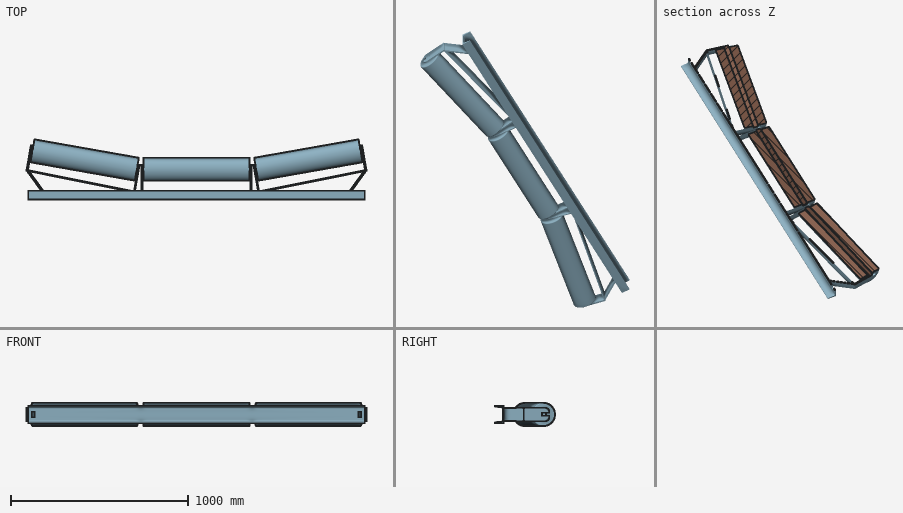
import cadquery as cq
import math

roller_diameter = 133.0
roller_length = 600.0
roller_edge_round = 4.8
shaft_radius = 12.5
shaft_flats = 17.0

axis_height = 121.0
trough_angle = 10.0
side_roller_x = 336.0

channel_length = 1900.0
channel_height = 100.0
channel_depth = 50.0
web_thickness = 6.0
flange_thickness = 8.5
flange_slope = 0.08
root_radius = 8.5
toe_radius = 4.5
end_slot_length = 17.0
end_slot_height = 29.0
end_slot_x = 920.0

bracket_width = 75.0
bracket_gap = 5.0
inner_plate = 5.0
inner_top = 25.0
inner_bend_radius = 4.0
outer_plate = 8.8
outer_top = 30.0
outer_corner_radius = 23.0
strut_foot_x = 875.0
strut_inset = 4.0
brace_plate = 5.0
brace_drop = 111.0
brace_foot_x = 370.0

tilt = math.radians(trough_angle)


def side_point(along, up):
    """Point given by its distance from the inner end of the +X side roller and above its axis."""
    x = side_roller_x + along * math.cos(tilt) - up * math.sin(tilt)
    y = axis_height + along * math.sin(tilt) + up * math.cos(tilt)
    return (x, y)


def tilted_line_x(along, y):
    """X at height y on the line square to the side roller axis, a distance along that axis."""
    x, y_axis = side_point(along, 0)
    return x + (y_axis - y) * math.tan(tilt)


def on_middle_axis(body):
    """Carry a body built from the origin along +X to the middle roller axis."""
    return body.translate((-roller_length / 2, axis_height, 0))


def on_side_axis(body):
    """Carry a body built from the origin along +X to the +X side roller axis."""
    return body.rotate((0, 0, 0), (0, 0, 1), trough_angle).translate((side_roller_x, axis_height, 0))


def mirrored(body):
    return body.mirror("YZ")


outer_near = roller_length + bracket_gap
outer_far = outer_near + outer_plate
brace_top = side_point(outer_far, -brace_drop)
brace_angle = math.atan2(brace_top[1], brace_top[0] - brace_foot_x)
brace_low = (
    brace_top[0] + brace_plate * math.sin(brace_angle),
    brace_top[1] - brace_plate * math.cos(brace_angle),
)


def make_roller():
    roller = cq.Workplane("YZ").circle(roller_diameter / 2).extrude(roller_length)
    roller = roller.faces("<X or >X").edges().fillet(roller_edge_round)
    bore = cq.Workplane("YZ").circle(shaft_radius).extrude(roller_length)
    return roller.cut(bore)


def make_shaft(far_plate):
    """Shaft from an inner bracket, through a roller, to the bracket at the roller's far end."""
    start = -bracket_gap - inner_plate
    far_face = roller_length + bracket_gap
    end = far_face + far_plate
    shaft = cq.Workplane("YZ", origin=(start, 0, 0)).circle(shaft_radius).extrude(end - start)
    for flat_start, flat_length in ((start, inner_plate), (far_face, far_plate)):
        for side in (1, -1):
            flat = cq.Workplane("XY").box(
                flat_length, 2 * shaft_radius, shaft_radius, centered=(False, True, True)
            )
            shaft = shaft.cut(flat.translate((flat_start, 0, side * (shaft_flats + shaft_radius) / 2)))
    return shaft


def make_slot(start, thickness, top):
    """Cutter for an open shaft slot in a plate, from the bottom of the shaft upwards."""
    height = top + shaft_radius
    slot = cq.Workplane("XY").box(thickness, height, shaft_flats, centered=(False, False, True))
    return slot.translate((start, -shaft_radius, 0))


def make_plate(outline):
    return cq.Workplane("XY").polyline(outline).close().extrude(bracket_width / 2, both=True)


def make_channel():
    """Channel with tapered flanges pointing to -Y and a rectangular slot near each end."""
    taper = flange_slope * channel_depth / 2
    toe_z = channel_height / 2 - flange_thickness + taper
    root_z = toe_z - flange_slope * (channel_depth - web_thickness)
    upper = [
        (0, channel_height / 2),
        (-channel_depth, channel_height / 2),
        (-channel_depth, toe_z),
        (-web_thickness, root_z),
    ]
    lower = [(y, -z) for y, z in reversed(upper)]
    channel = cq.Workplane("YZ").polyline(upper + lower).close().extrude(channel_length / 2, both=True)
    for y, z, radius in ((-channel_depth, toe_z, toe_radius), (-web_thickness, root_z, root_radius)):
        for side in (1, -1):
            corner = cq.selectors.NearestToPointSelector((0, y, side * z))
            channel = channel.edges("|X").edges(corner).fillet(radius)
    slots = (
        cq.Workplane("XZ")
        .pushPoints([(-end_slot_x, 0), (end_slot_x, 0)])
        .rect(end_slot_length, end_slot_height)
        .extrude(web_thickness)
    )
    return channel.cut(slots)


def make_inner_bracket():
    """Bent plate that carries the middle roller on one leg and the side roller on the other."""
    middle_face = roller_length / 2 + bracket_gap
    middle_back = middle_face + inner_plate
    side_face = -bracket_gap
    side_back = side_face - inner_plate
    top = axis_height + inner_top
    under = top - inner_plate
    bracket = make_plate(
        [
            (middle_face, 0),
            (middle_face, top),
            (tilted_line_x(side_face, top), top),
            (tilted_line_x(side_face, 0), 0),
            (tilted_line_x(side_back, 0), 0),
            (tilted_line_x(side_back, under), under),
            (middle_back, under),
            (middle_back, 0),
        ]
    )
    for x in (middle_face, tilted_line_x(side_face, top)):
        bend = cq.selectors.NearestToPointSelector((x, top, 0))
        bracket = bracket.edges("|Z").edges(bend).fillet(inner_bend_radius)
    slot_top = 2 * inner_top
    middle_slot = on_middle_axis(make_slot(roller_length + bracket_gap, inner_plate, slot_top))
    side_slot = on_side_axis(make_slot(side_back, inner_plate, slot_top))
    return bracket.cut(middle_slot).cut(side_slot)


def make_brace():
    """Sloping plate from under the outer bracket down to the channel."""
    return make_plate(
        [
            (brace_foot_x, 0),
            brace_top,
            brace_low,
            (brace_foot_x + brace_plate / math.sin(brace_angle), 0),
        ]
    )


def make_outer_bracket():
    """Slotted plate that stands on the upper end of the brace and carries the side roller's shaft."""
    near_drop = brace_drop + outer_plate * math.tan(brace_angle - tilt)
    bracket = make_plate(
        [
            side_point(outer_near, outer_top),
            side_point(outer_far, outer_top),
            brace_top,
            side_point(outer_near, -near_drop),
        ]
    )
    top_x, top_y = side_point(outer_near + outer_plate / 2, outer_top)
    for side in (1, -1):
        corner = cq.selectors.NearestToPointSelector((top_x, top_y, side * bracket_width / 2))
        bracket = bracket.edges(corner).fillet(outer_corner_radius)
    return bracket.cut(on_side_axis(make_slot(outer_near, outer_plate, outer_top)))


def make_strut():
    """Steep plate that props the upper end of the brace."""
    top_x = brace_low[0] - strut_inset * math.cos(brace_angle)
    top_y = brace_low[1] - strut_inset * math.sin(brace_angle)
    strut_angle = math.atan2(top_y, top_x - strut_foot_x)
    top_width = outer_plate / math.sin(strut_angle - brace_angle)
    return make_plate(
        [
            (top_x, top_y),
            (strut_foot_x, 0),
            (strut_foot_x - outer_plate / math.sin(strut_angle), 0),
            (top_x - top_width * math.cos(brace_angle), top_y - top_width * math.sin(brace_angle)),
        ]
    )


def make_frame():
    frame = make_channel()
    for part in (make_inner_bracket(), make_brace(), make_outer_bracket(), make_strut()):
        frame = frame.union(part).union(mirrored(part))
    return frame


frame = make_frame()
middle_roller = on_middle_axis(make_roller())
middle_shaft = on_middle_axis(make_shaft(inner_plate))
side_roller = on_side_axis(make_roller())
side_shaft = on_side_axis(make_shaft(outer_plate))

bodies = [frame, middle_roller, middle_shaft]
for body in (side_roller, side_shaft):
    bodies += [body, mirrored(body)]

result = cq.Compound.makeCompound([body.val() for body in bodies])